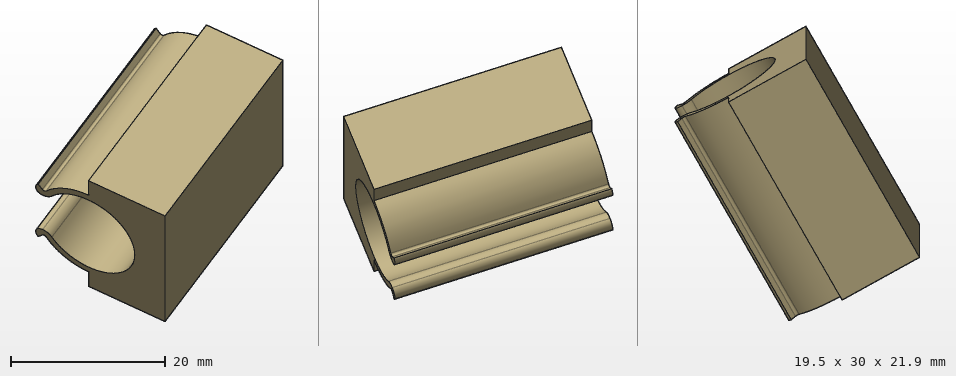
import cadquery as cq
import math

length = 30.0
bore_radius = 6.95
wall = 1.0
block_depth = 11.5
block_shoulder = 3.0
mouth_gap = 7.1
bend_outer_radius = 1.75
bend_inner_radius = 0.35
bend_inner_z = 4.95
lip_radius = 1.06
tip_angle = 128.0

arm_radius = bore_radius + wall
block_height = 2 * (arm_radius + block_shoulder)

bend_outer_z = mouth_gap / 2 + bend_outer_radius
bend_outer_x = -math.sqrt((bore_radius + bend_outer_radius)**2 - bend_outer_z**2)
lip_z = mouth_gap / 2 + lip_radius

bend_inner_x = -math.sqrt((arm_radius + bend_inner_radius)**2 - bend_inner_z**2)


def polar(radius, angle, center=(0.0, 0.0)):
    """Point on a circle in the XZ plane, angle in degrees from +X toward +Z."""
    radians = math.radians(angle)
    return (center[0] + radius * math.cos(radians), center[1] + radius * math.sin(radians))


def center_angle(center):
    """Direction of a point from the bore axis, in degrees from +X toward +Z."""
    return math.degrees(math.atan2(center[1], center[0]))


def tangent_angle(point, center, radius):
    """Angle on a circle of its lower-left contact with the tangent line from an outside point."""
    dx = point[0] - center[0]
    dz = point[1] - center[1]
    half_spread = math.degrees(math.acos(radius / math.hypot(dx, dz)))
    return math.degrees(math.atan2(dz, dx)) + half_spread


def make_upper_half():
    """Half of the clip above the bore axis: back block, curved arm and outward-turned lip."""
    outer = (bend_outer_x, bend_outer_z)
    inner = (bend_inner_x, bend_inner_z)
    lip = (bend_outer_x, lip_z)
    tip = polar(lip_radius, tip_angle, lip)
    top_angle = 90.0
    bottom_angle = 270.0

    bore_end = center_angle(outer)
    outer_middle = (bore_end + 180.0 + bottom_angle) / 2
    nose_middle = (bottom_angle + tip_angle) / 2
    arm_end = center_angle(inner)
    arm_middle = (arm_end + top_angle) / 2
    inner_start = tangent_angle(tip, inner, bend_inner_radius)
    inner_middle = (inner_start + arm_end + 180.0) / 2

    profile = (
        cq.Workplane("XZ")
        .moveTo(bore_radius, 0)
        .threePointArc(polar(bore_radius, bore_end / 2), polar(bore_radius, bore_end))
        .threePointArc(
            polar(bend_outer_radius, outer_middle, outer),
            polar(bend_outer_radius, bottom_angle, outer),
        )
        .threePointArc(polar(lip_radius, nose_middle, lip), tip)
        .lineTo(*polar(bend_inner_radius, inner_start, inner))
        .threePointArc(polar(bend_inner_radius, inner_middle, inner), polar(arm_radius, arm_end))
        .threePointArc(polar(arm_radius, arm_middle), polar(arm_radius, top_angle))
        .lineTo(0, block_height / 2)
        .lineTo(block_depth, block_height / 2)
        .lineTo(block_depth, 0)
        .close()
    )
    return profile.extrude(length / 2, both=True)


upper_half = make_upper_half()
lower_half = upper_half.mirror("XY")
result = upper_half.union(lower_half).clean()